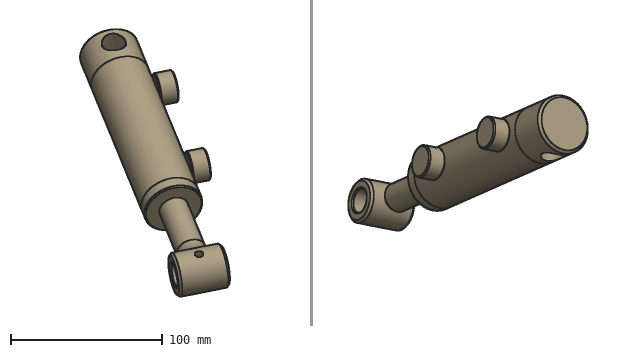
import cadquery as cq
import math


total_length = 234.0
barrel_diameter = 40.0

base_length = 29.0
base_chamfer = 1.9
pin_diameter = 16.1
base_hole_x = 13.8

gland_start = 149.5
gland_end = 158.0
gland_chamfer = 1.0

rod_diameter = 20.0
rod_nose_length = 4.5
rod_nose_radius = 11.0
eye_diameter = 30.0
eye_width = 35.0
eye_rim_chamfer = 1.75
eye_bore_chamfer = 1.0
grease_hole_diameter = 5.5

port_diameter = 22.0
port_height = 12.9
port_chamfer = 1.0
port_positions = (45.5, 122.8)

barrel_radius = barrel_diameter / 2
eye_center_x = total_length - eye_diameter / 2
rod_end = total_length - eye_diameter


def axial_cylinder(diameter, start, end):
    """Solid cylinder on the main axis between two X positions."""
    return cq.Workplane("YZ").workplane(offset=start).circle(diameter / 2).extrude(end - start)


def make_base():
    """Closed end of the cylinder, with a vertical hole for the mounting pin."""
    base = axial_cylinder(barrel_diameter, 0, base_length).faces("<X").chamfer(base_chamfer)
    pin_hole = (
        cq.Workplane("XY", origin=(base_hole_x, 0, -barrel_radius))
        .circle(pin_diameter / 2)
        .extrude(barrel_diameter)
    )
    return base.cut(pin_hole)


def make_barrel():
    """Plain cylinder between the base and the gland."""
    return axial_cylinder(barrel_diameter, base_length, gland_start)


def make_gland():
    """End ring of the barrel on the rod side."""
    return axial_cylinder(barrel_diameter, gland_start, gland_end).faces(">X").chamfer(gland_chamfer)


def make_rod():
    """Rod from the gland face to the side of the eye, with a ball-shaped nose at its outer end."""
    rod_radius = rod_diameter / 2
    nose_start = rod_end - rod_nose_length
    nose_center_x = nose_start - math.sqrt(rod_nose_radius**2 - rod_radius**2)

    def nose_height(x):
        return math.sqrt(rod_nose_radius**2 - (x - nose_center_x) ** 2)

    nose_middle = (nose_start + rod_end) / 2
    return (
        cq.Workplane("XY")
        .moveTo(gland_end, 0)
        .lineTo(gland_end, rod_radius)
        .lineTo(nose_start, rod_radius)
        .threePointArc((nose_middle, nose_height(nose_middle)), (rod_end, nose_height(rod_end)))
        .lineTo(rod_end, 0)
        .close()
        .revolve(360, (0, 0, 0), (1, 0, 0))
    )


def eye_cylinder(diameter):
    """Solid cylinder on the axis of the eye, as long as the eye is wide."""
    return (
        cq.Workplane("XZ", origin=(eye_center_x, eye_width / 2, 0))
        .circle(diameter / 2)
        .extrude(eye_width)
    )


def make_eye():
    """Cross tube with a pin bore along Y and a grease hole through its upper wall."""
    eye = eye_cylinder(eye_diameter).faces("<Y or >Y").chamfer(eye_rim_chamfer)
    eye = eye.cut(eye_cylinder(pin_diameter))
    bore_edges = eye.faces("<Y or >Y").edges(cq.selectors.RadiusNthSelector(0))
    eye = bore_edges.chamfer(eye_bore_chamfer)
    grease_hole = (
        cq.Workplane("XY", origin=(eye_center_x, 0, 0))
        .circle(grease_hole_diameter / 2)
        .extrude(eye_diameter / 2)
    )
    return eye.cut(grease_hole)


def make_port(x):
    """Oil port standing on the +Y side of the barrel, chamfered at both ends."""
    return (
        cq.Workplane("XZ", origin=(x, barrel_radius, 0))
        .circle(port_diameter / 2)
        .extrude(-port_height)
        .faces("<Y or >Y")
        .chamfer(port_chamfer)
    )


base = make_base()
barrel = make_barrel()
gland = make_gland()
rod = make_rod()
eye = make_eye()
ports = [make_port(x) for x in port_positions]

result = cq.Compound.makeCompound(
    [
        base.val(),
        barrel.val(),
        gland.val(),
        rod.val(),
        eye.val(),
        *[port.val() for port in ports],
    ]
)